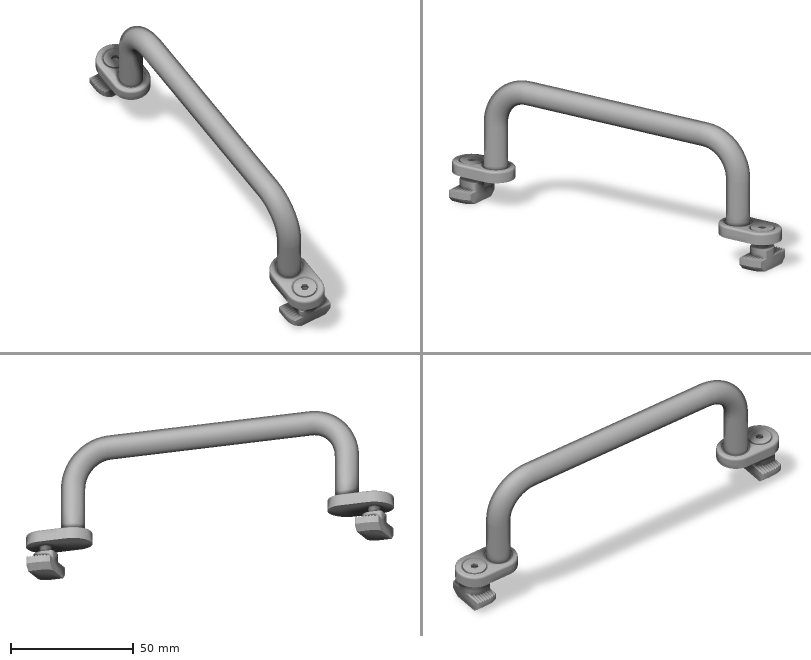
import cadquery as cq
import math

overall_length = 160.0
overall_height = 56.3
hole_pitch = 12.0

bar_diameter = 10.0
bar_rise = 39.5
bend_radius = 16.0

foot_width = 16.0
foot_thickness = 5.0
foot_edge_fillet = 1.0
leg_recess_diameter = 12.0
leg_recess_depth = 0.5
screw_bore_mouth_diameter = 11.2
seat_depth = 3.2

head_diameter = 9.5
shank_diameter = 5.0
clearance_diameter = 5.5
socket_width = 3.0
socket_depth = 2.5
socket_cone_height = 0.8

nut_width = 10.0
nut_length = 19.0
nut_height = 8.6
wing_height = 5.8
end_chamfer = 2.5
nut_corner_fillet = 0.6
boss_corner_fillet = 1.3
tooth_count = 8

foot_top = overall_height - bar_rise
foot_bottom = foot_top - foot_thickness
seat_z = foot_top - seat_depth
leg_floor = foot_top - leg_recess_depth
screw_x = (overall_length - foot_width) / 2
leg_x = screw_x - hole_pitch
bar_axis_z = overall_height - bar_diameter / 2


def make_bar():
    """Round bar bent into a U, its leg ends standing on the floors of the feet's recesses."""
    bend_start_z = bar_axis_z - bend_radius
    straight_end_x = leg_x - bend_radius
    bend_middle = bend_radius * math.sqrt(0.5)
    path = (
        cq.Workplane("XZ")
        .moveTo(-leg_x, leg_floor)
        .lineTo(-leg_x, bend_start_z)
        .threePointArc(
            (-straight_end_x - bend_middle, bend_start_z + bend_middle),
            (-straight_end_x, bar_axis_z),
        )
        .lineTo(straight_end_x, bar_axis_z)
        .threePointArc(
            (straight_end_x + bend_middle, bend_start_z + bend_middle),
            (leg_x, bend_start_z),
        )
        .lineTo(leg_x, leg_floor)
    )
    return (
        cq.Workplane("XY", origin=(-leg_x, 0, leg_floor))
        .circle(bar_diameter / 2)
        .sweep(path)
    )


def make_screw_bore():
    """Cutter for the stepped screw hole: clearance hole, head seat and 45 degree mouth."""
    clearance_radius = clearance_diameter / 2
    head_radius = head_diameter / 2
    mouth_radius = screw_bore_mouth_diameter / 2
    mouth_bottom = foot_top - (mouth_radius - head_radius)
    return (
        cq.Workplane("XZ")
        .polyline([
            (0, foot_bottom),
            (clearance_radius, foot_bottom),
            (clearance_radius, seat_z),
            (head_radius, seat_z),
            (head_radius, mouth_bottom),
            (mouth_radius, foot_top),
            (0, foot_top),
        ])
        .close()
        .revolve(360, (0, 0, 0), (0, 1, 0))
    )


def make_foot(side):
    """Rounded plate with a shallow recess for the bar leg and a stepped hole for the screw."""
    foot = (
        cq.Workplane("XY", origin=(side * (screw_x + leg_x) / 2, 0, foot_bottom))
        .slot2D(hole_pitch + foot_width, foot_width)
        .extrude(foot_thickness)
        .faces(">Z")
        .edges()
        .fillet(foot_edge_fillet)
    )
    leg_recess = (
        cq.Workplane("XY", origin=(side * leg_x, 0, leg_floor))
        .circle(leg_recess_diameter / 2)
        .extrude(leg_recess_depth)
    )
    return foot.cut(leg_recess).cut(make_screw_bore().translate((side * screw_x, 0, 0)))


def make_screw(side):
    """Flat-headed screw running down to the underside of the nut, with a hexagon socket."""
    screw = (
        cq.Workplane("XY")
        .circle(shank_diameter / 2)
        .extrude(seat_z)
        .faces(">Z")
        .workplane()
        .circle(head_diameter / 2)
        .extrude(foot_top - seat_z)
    )
    socket_corners = socket_width / math.cos(math.pi / 6)
    socket_prism = (
        cq.Workplane("XY", origin=(0, 0, foot_top - socket_depth))
        .polygon(6, socket_corners)
        .extrude(socket_depth)
    )
    pointed_drill = (
        cq.Workplane("XZ", origin=(0, 0, foot_top - socket_depth))
        .polyline([
            (0, 0),
            (socket_corners / 2, socket_cone_height),
            (socket_corners / 2, socket_depth),
            (0, socket_depth),
        ])
        .close()
        .revolve(360, (0, 0, 0), (0, 1, 0))
    )
    return screw.cut(socket_prism.intersect(pointed_drill)).translate((side * screw_x, 0, 0))


def make_nut_wings():
    """Nut base: opposite corners rounded for turning, ends chamfered below, top toothed."""
    half_width = nut_width / 2
    swing_radius = nut_length / 2
    corner_y = math.sqrt(swing_radius**2 - half_width**2)
    arc_angle = math.asin(half_width / swing_radius) / 2
    arc_x = swing_radius * math.sin(arc_angle)
    arc_y = swing_radius * math.cos(arc_angle)
    wings = (
        cq.Workplane("XY")
        .moveTo(-half_width, -swing_radius)
        .lineTo(0, -swing_radius)
        .threePointArc((arc_x, -arc_y), (half_width, -corner_y))
        .lineTo(half_width, swing_radius)
        .lineTo(0, swing_radius)
        .threePointArc((-arc_x, arc_y), (-half_width, corner_y))
        .close()
        .extrude(wing_height)
        .faces("<Z")
        .edges("not #X")
        .chamfer(end_chamfer)
    )
    for corner in (-1, 1):
        corner_edge = cq.selectors.NearestToPointSelector(
            (corner * half_width, corner * swing_radius, (end_chamfer + wing_height) / 2)
        )
        wings = wings.edges(corner_edge).fillet(nut_corner_fillet)

    tooth_pitch = nut_width / tooth_count
    tooth_height = tooth_pitch / 2
    for groove in range(tooth_count + 1):
        groove_x = groove * tooth_pitch - half_width
        wings = wings.cut(
            cq.Workplane("XZ", origin=(groove_x, 0, wing_height))
            .polyline([(-tooth_pitch / 2, 0), (0, -tooth_height), (tooth_pitch / 2, 0)])
            .close()
            .extrude(swing_radius, both=True)
        )
    return wings


def make_nut(side):
    """T-nut with a boss of two round and two square quarters and a through hole for the screw."""
    half_width = nut_width / 2
    boss = cq.Workplane("XY").circle(half_width).extrude(nut_height)
    for corner in (-1, 1):
        boss = boss.union(
            cq.Workplane("XY")
            .center(corner * half_width / 2, -corner * half_width / 2)
            .rect(half_width, half_width)
            .extrude(nut_height)
            .edges("|Z")
            .edges(">X and <Y" if corner > 0 else "<X and >Y")
            .fillet(boss_corner_fillet)
        )
    screw_hole = cq.Workplane("XY").circle(shank_diameter / 2).extrude(nut_height)
    return make_nut_wings().union(boss).cut(screw_hole).translate((side * screw_x, 0, 0))


bar = make_bar()
feet = []
screws = []
nuts = []
for side in (-1, 1):
    feet.append(make_foot(side).solids().val())
    screws.append(make_screw(side).solids().val())
    nuts.append(make_nut(side).solids().val())

result = cq.Compound.makeCompound([bar.val(), *feet, *screws, *nuts])